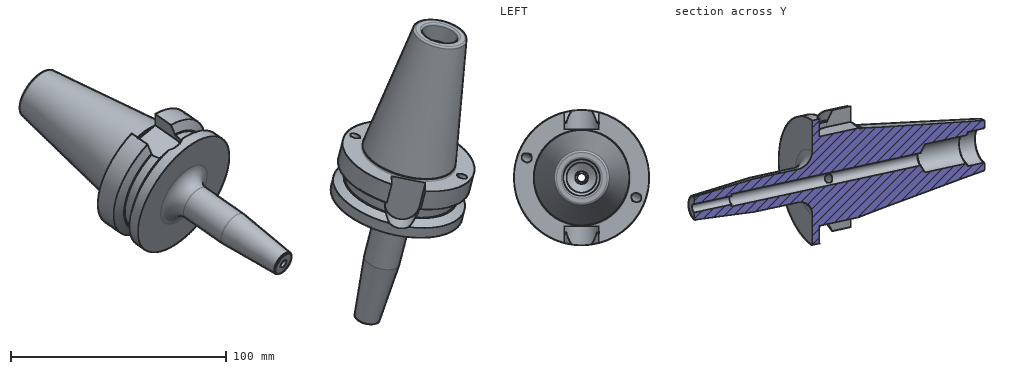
import cadquery as cq
import math


GAUGE_DIA = 44.45
TAPER_RATIO = 7 / 24
SHANK_LENGTH = 65.4
SHANK_END_FILLET = 1.0

TAPER_END_X = 0.4
RELIEF_DIA = 44.25
RELIEF_STEP_LENGTH = 0.4
RELIEF_FILLET = 0.4

FLANGE_DIA = 63.0
FLANGE_BACK_X = 1.6
FLANGE_FRONT_X = 27.0
GROOVE_DIA = 53.0
GROOVE_WALL_END_DIA = 54.2
GROOVE_STEP_RUN = 0.1
GROOVE_CENTER_X = 16.6
GROOVE_MOUTH_WIDTH = 10.0
GROOVE_WALL_ANGLE = 30.0

NOSE_LENGTH = 90.0
NECK_DIA = 17.0
NECK_FILLET = 7.5
TIP_DIA = 12.0
TIP_TAPER_ANGLE = 4.5
TIP_CHAMFER = 0.5

SLOT_WIDTH = 16.1
SLOT_FLOOR_Z = 22.6
SLOT_END_X = 23.0

BORE_MOUTH_FILLET = 1.0
PILOT_DIA = 17.0
PILOT_DEPTH = 9.0
THREAD_DIA = 14.0
THREAD_DEPTH = 32.0
DRILL_POINT_ANGLE = 118.0
DUCT_DIA = 6.0
TOOL_BORE_DIA = 4.0
TOOL_BORE_DEPTH = 20.0

COOLANT_ANGLES = (20.0, 200.0)
RADIAL_HOLE_DIA = 4.0
INCLINED_HOLE_DIA = 4.2
INCLINED_HOLE_ANGLE = 30.0
INCLINED_HOLE_RADIUS = 27.1

ARC_MIDDLE = math.sqrt(0.5)


def revolve_about_x(profile):
    """Turn a closed half profile, drawn as X and radius, about the X axis."""
    return profile.close().revolve(360, (0, 0, 0), (1, 0, 0))


def cone_length(large_dia, small_dia, included_angle):
    """Axial length of a cone between two diameters."""
    return (large_dia - small_dia) / 2 / math.tan(math.radians(included_angle / 2))


def make_body():
    shank_end_x = -SHANK_LENGTH
    shank_end_radius = (GAUGE_DIA - SHANK_LENGTH * TAPER_RATIO) / 2
    taper_angle = math.atan(TAPER_RATIO / 2)
    shank_fillet_x = shank_end_x + SHANK_END_FILLET
    shank_fillet_radius = (
        shank_end_radius
        + SHANK_END_FILLET * TAPER_RATIO / 2
        - SHANK_END_FILLET / math.cos(taper_angle)
    )
    shank_tangent = (
        shank_fillet_x - SHANK_END_FILLET * math.sin(taper_angle),
        shank_fillet_radius + SHANK_END_FILLET * math.cos(taper_angle),
    )
    middle_angle = (math.pi / 2 - taper_angle) / 2
    shank_middle = (
        shank_fillet_x - SHANK_END_FILLET * math.cos(middle_angle),
        shank_fillet_radius + SHANK_END_FILLET * math.sin(middle_angle),
    )

    taper_end_radius = (GAUGE_DIA + TAPER_END_X * TAPER_RATIO) / 2
    relief_radius = RELIEF_DIA / 2
    relief_x = TAPER_END_X + RELIEF_STEP_LENGTH
    relief_fillet_x = FLANGE_BACK_X - RELIEF_FILLET
    relief_fillet_top = relief_radius + RELIEF_FILLET
    relief_offset = RELIEF_FILLET * ARC_MIDDLE
    relief_middle = (relief_fillet_x + relief_offset, relief_fillet_top - relief_offset)

    flange_radius = FLANGE_DIA / 2
    groove_radius = GROOVE_DIA / 2
    wall_end_radius = GROOVE_WALL_END_DIA / 2
    half_mouth = GROOVE_MOUTH_WIDTH / 2
    wall_run = (flange_radius - wall_end_radius) * math.tan(math.radians(GROOVE_WALL_ANGLE))
    half_wall_end = half_mouth - wall_run
    half_floor = half_wall_end - GROOVE_STEP_RUN

    neck_radius = NECK_DIA / 2
    fillet_end_x = FLANGE_FRONT_X + NECK_FILLET
    fillet_center_radius = neck_radius + NECK_FILLET
    fillet_offset = NECK_FILLET * ARC_MIDDLE
    fillet_middle = (fillet_end_x - fillet_offset, fillet_center_radius - fillet_offset)

    tip_radius = TIP_DIA / 2
    tip_slope = math.tan(math.radians(TIP_TAPER_ANGLE))
    tip_taper_x = NOSE_LENGTH - (neck_radius - tip_radius) / tip_slope

    profile = (
        cq.Workplane("XY")
        .moveTo(shank_end_x, 0)
        .lineTo(shank_end_x, shank_fillet_radius)
        .threePointArc(shank_middle, shank_tangent)
        .lineTo(TAPER_END_X, taper_end_radius)
        .lineTo(relief_x, relief_radius)
        .lineTo(relief_fillet_x, relief_radius)
        .threePointArc(relief_middle, (FLANGE_BACK_X, relief_fillet_top))
        .lineTo(FLANGE_BACK_X, flange_radius)
        .lineTo(GROOVE_CENTER_X - half_mouth, flange_radius)
        .lineTo(GROOVE_CENTER_X - half_wall_end, wall_end_radius)
        .lineTo(GROOVE_CENTER_X - half_floor, groove_radius)
        .lineTo(GROOVE_CENTER_X + half_floor, groove_radius)
        .lineTo(GROOVE_CENTER_X + half_wall_end, wall_end_radius)
        .lineTo(GROOVE_CENTER_X + half_mouth, flange_radius)
        .lineTo(FLANGE_FRONT_X, flange_radius)
        .lineTo(FLANGE_FRONT_X, fillet_center_radius)
        .threePointArc(fillet_middle, (fillet_end_x, neck_radius))
        .lineTo(tip_taper_x, neck_radius)
        .lineTo(NOSE_LENGTH - TIP_CHAMFER, tip_radius + TIP_CHAMFER * tip_slope)
        .lineTo(NOSE_LENGTH, tip_radius - TIP_CHAMFER)
        .lineTo(NOSE_LENGTH, 0)
    )
    return revolve_about_x(profile)


def make_bore():
    mouth_x = -SHANK_LENGTH
    pilot_x = mouth_x + BORE_MOUTH_FILLET
    mouth_radius = PILOT_DIA / 2 + BORE_MOUTH_FILLET
    mouth_offset = BORE_MOUTH_FILLET * ARC_MIDDLE
    mouth_middle = (pilot_x - mouth_offset, mouth_radius - mouth_offset)
    pilot_end_x = mouth_x + PILOT_DEPTH
    thread_x = pilot_end_x + cone_length(PILOT_DIA, THREAD_DIA, DRILL_POINT_ANGLE)
    thread_end_x = mouth_x + THREAD_DEPTH
    duct_x = thread_end_x + cone_length(THREAD_DIA, DUCT_DIA, DRILL_POINT_ANGLE)
    tool_bore_x = NOSE_LENGTH - TOOL_BORE_DEPTH

    profile = (
        cq.Workplane("XY")
        .moveTo(mouth_x, 0)
        .lineTo(mouth_x, mouth_radius)
        .threePointArc(mouth_middle, (pilot_x, PILOT_DIA / 2))
        .lineTo(pilot_end_x, PILOT_DIA / 2)
        .lineTo(thread_x, THREAD_DIA / 2)
        .lineTo(thread_end_x, THREAD_DIA / 2)
        .lineTo(duct_x, DUCT_DIA / 2)
        .lineTo(tool_bore_x, DUCT_DIA / 2)
        .lineTo(tool_bore_x, TOOL_BORE_DIA / 2)
        .lineTo(NOSE_LENGTH, TOOL_BORE_DIA / 2)
        .lineTo(NOSE_LENGTH, 0)
    )
    return revolve_about_x(profile)


def make_drive_slot():
    """Round-ended slot cutter on the +Z side, open through the back of the flange."""
    half_width = SLOT_WIDTH / 2
    round_x = SLOT_END_X - half_width
    return (
        cq.Workplane("XY", origin=(0, 0, SLOT_FLOOR_Z))
        .moveTo(0, -half_width)
        .lineTo(round_x, -half_width)
        .threePointArc((SLOT_END_X, 0), (round_x, half_width))
        .lineTo(0, half_width)
        .close()
        .extrude(FLANGE_DIA / 2)
    )


def make_coolant_passage():
    """Radial hole from the groove floor to the bore, met by an inclined hole from the flange back."""
    radial = cq.Solid.makeCylinder(
        RADIAL_HOLE_DIA / 2,
        GROOVE_DIA / 2 + RADIAL_HOLE_DIA / 2,
        cq.Vector(GROOVE_CENTER_X, 0, 0),
        cq.Vector(0, 1, 0),
    )

    angle = math.radians(INCLINED_HOLE_ANGLE)
    direction = cq.Vector(math.cos(angle), -math.sin(angle), 0)
    mouth = cq.Vector(FLANGE_BACK_X, INCLINED_HOLE_RADIUS, 0)
    lead_in = INCLINED_HOLE_DIA
    length = (GROOVE_CENTER_X - FLANGE_BACK_X) / math.cos(angle)
    inclined = cq.Solid.makeCylinder(
        INCLINED_HOLE_DIA / 2,
        length + lead_in,
        mouth - direction * lead_in,
        direction,
    )
    return cq.Workplane(obj=radial).union(cq.Workplane(obj=inclined))


result = make_body().cut(make_bore())

drive_slot = make_drive_slot()
for slot_angle in (0, 180):
    result = result.cut(drive_slot.rotate((0, 0, 0), (1, 0, 0), slot_angle))

coolant_passage = make_coolant_passage()
for coolant_angle in COOLANT_ANGLES:
    result = result.cut(coolant_passage.rotate((0, 0, 0), (1, 0, 0), coolant_angle))